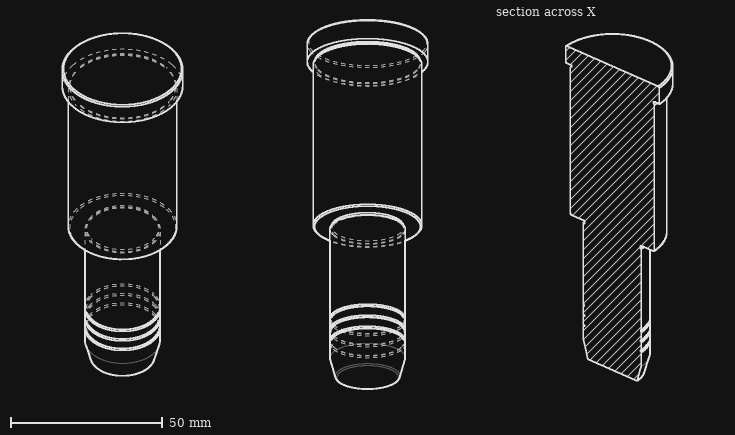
import cadquery as cq
import math

total_length = 120.0
head_height = 7.0
body_bottom = 54.0
nose_height = 7.0

head_radius = 120.0 / 6
body_radius = 18.0
stem_radius = 12.5
nose_taper_angle = 15.0

head_chamfer = 0.5
body_chamfer = 0.5
nose_fillet = 0.6
stem_relief_width = 1.0
body_relief_width = 1.1
body_relief_floor = 0.4
relief_depth = 0.5

groove_count = 3
groove_width = 0.8
groove_depth = 0.5
groove_pitch = 4.0
lowest_groove_bottom = 12.2

head_bottom = total_length - head_height
nose_radius = stem_radius - nose_height * math.tan(math.radians(nose_taper_angle))


def cylinder(radius, bottom, top):
    return cq.Workplane("XY").workplane(offset=bottom).circle(radius).extrude(top - bottom)


def ring(profile_points):
    """Revolve a closed (radius, height) outline around the Z axis."""
    return cq.Workplane("XZ").polyline(profile_points).close().revolve(360, (0, 0, 0), (0, 1, 0))


def groove_ring(bottom):
    return ring([
        (stem_radius, bottom),
        (stem_radius - groove_depth, bottom + groove_width / 2),
        (stem_radius, bottom + groove_width),
    ])


def stem_relief():
    bottom = body_bottom - stem_relief_width
    outer = cylinder(stem_radius, bottom, body_bottom)
    return outer.cut(cylinder(stem_radius - relief_depth, bottom, body_bottom))


def body_relief():
    floor_radius = body_radius - relief_depth
    return ring([
        (body_radius, head_bottom - body_relief_width),
        (floor_radius, head_bottom - body_relief_floor),
        (floor_radius, head_bottom),
        (body_radius, head_bottom),
    ])


def make_nose():
    nose = (
        cq.Workplane("XY")
        .circle(nose_radius)
        .workplane(offset=nose_height)
        .circle(stem_radius)
        .loft(ruled=True)
    )
    return nose.faces("<Z").edges().fillet(nose_fillet)


def make_stem():
    stem = cylinder(stem_radius, nose_height, body_bottom)
    for index in range(groove_count):
        stem = stem.cut(groove_ring(lowest_groove_bottom + index * groove_pitch))
    return stem.cut(stem_relief())


def make_body():
    body = cylinder(body_radius, body_bottom, head_bottom)
    body = body.faces("<Z").edges().chamfer(body_chamfer)
    return body.cut(body_relief())


def make_head():
    head = cylinder(head_radius, head_bottom, total_length)
    return head.faces(">Z").edges().chamfer(head_chamfer)


result = make_nose().union(make_stem()).union(make_body()).union(make_head())